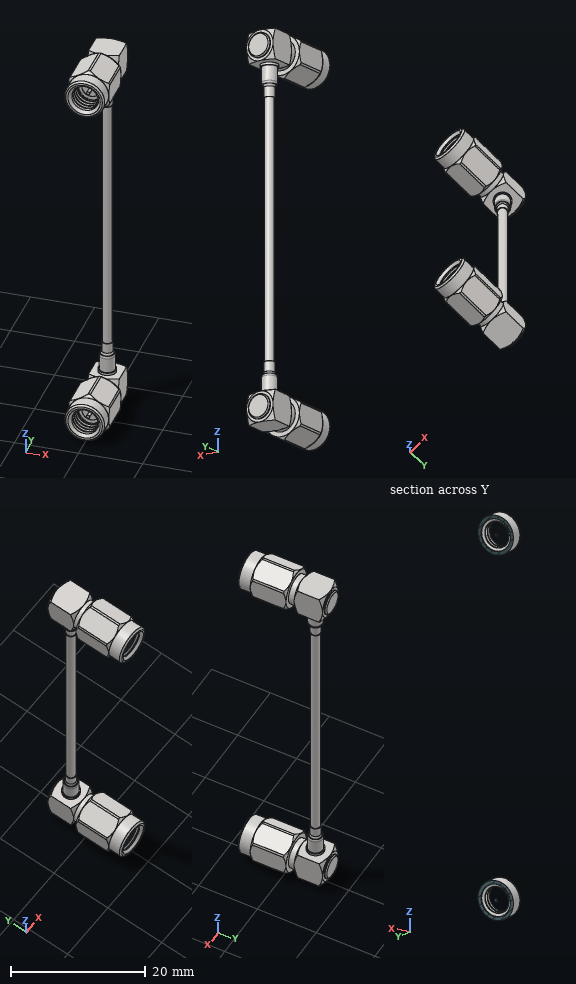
import cadquery as cq
import math

overall_height = 63.74

hex_across_flats = 6.35
hex_corner_radius = 3.57
nut_rear_y = -3.26
hex_front_y = -9.38
nut_front_y = -11.58
hex_chamfer_radius = 3.15
nut_collar_radius = 3.12
collar_edge_chamfer = 0.28

thread_minor_radius = 2.06
thread_major_radius = 2.5
thread_pitch = 0.7
thread_count = 5
thread_mouth_radius = 2.52

elbow_width = 4.83
elbow_rear_y = 2.52
elbow_front_y = -2.3
elbow_chamfer_angle = 30
cap_radius = 1.95
cap_height = 0.38
cap_edge_chamfer = 0.2
spigot_radius = 2.0
spigot_front_y = -8.1
dielectric_radius = 1.43
dielectric_recess = 0.05
pin_radius = 0.25
pin_front_y = -9.6

base_ring_radius = 1.4
base_ring_end = 2.8
ferrule_radius = 1.22
ferrule_end = 5.58
ferrule_chamfer_length = 0.38
ferrule_chamfer_depth = 0.1
sleeve_radius = 0.85
sleeve_shoulder_radius = 1.0
sleeve_shoulder_end = 5.96
sleeve_end = 7.6

cable_radius = 0.75

axis_height = overall_height / 2 - hex_corner_radius
elbow_half = elbow_width / 2
elbow_corner_radius = elbow_half * math.sqrt(2)
elbow_chamfer_length = (elbow_corner_radius - elbow_half) * math.tan(math.radians(elbow_chamfer_angle))
thread_flat = thread_pitch / 4
hex_chamfer_length = hex_corner_radius - hex_chamfer_radius


def turned_about_y(points):
    """Solid of revolution about the Y axis from (radius, y) points."""
    return cq.Workplane("XY").polyline(points).close().revolve(360, (0, 0, 0), (0, 1, 0))


def turned_about_z(points):
    """Solid of revolution about the Z axis from (radius, z) points."""
    return cq.Workplane("XZ").polyline(points).close().revolve(360, (0, 0, 0), (0, 1, 0))


def nut_hexagon():
    hexagon = (
        cq.Workplane("XZ", origin=(0, nut_rear_y, 0))
        .polygon(6, hex_across_flats, circumscribed=True)
        .extrude(nut_rear_y - hex_front_y)
    )
    envelope = turned_about_y([
        (0, nut_rear_y),
        (hex_chamfer_radius, nut_rear_y),
        (hex_corner_radius, nut_rear_y - hex_chamfer_length),
        (hex_corner_radius, hex_front_y + hex_chamfer_length),
        (hex_chamfer_radius, hex_front_y),
        (0, hex_front_y),
    ])
    return hexagon.intersect(envelope)


def nut_bore():
    mouth_depth = thread_mouth_radius - thread_minor_radius
    thread_start_y = nut_front_y + mouth_depth
    points = [(0, nut_front_y), (thread_mouth_radius, nut_front_y), (thread_minor_radius, thread_start_y)]
    for turn in range(thread_count):
        groove_y = thread_start_y + turn * thread_pitch
        points.append((thread_major_radius, groove_y + thread_flat))
        points.append((thread_major_radius, groove_y + 2 * thread_flat))
        points.append((thread_minor_radius, groove_y + 3 * thread_flat))
        points.append((thread_minor_radius, groove_y + thread_pitch))
    thread_end_y = thread_start_y + thread_count * thread_pitch
    points += [(spigot_radius, thread_end_y), (spigot_radius, nut_rear_y), (0, nut_rear_y)]
    return turned_about_y(points)


def make_nut():
    collar = turned_about_y([
        (0, hex_front_y),
        (nut_collar_radius, hex_front_y),
        (nut_collar_radius, nut_front_y + collar_edge_chamfer),
        (nut_collar_radius - collar_edge_chamfer, nut_front_y),
        (0, nut_front_y),
    ])
    return nut_hexagon().union(collar).cut(nut_bore())


def elbow_block():
    block = cq.Workplane("XY").box(elbow_width, elbow_rear_y - elbow_front_y, elbow_width)
    block = block.translate((0, (elbow_rear_y + elbow_front_y) / 2, 0))
    envelope = turned_about_y([
        (0, elbow_rear_y),
        (elbow_half, elbow_rear_y),
        (elbow_corner_radius, elbow_rear_y - elbow_chamfer_length),
        (elbow_corner_radius, elbow_front_y + elbow_chamfer_length),
        (elbow_half, elbow_front_y),
        (0, elbow_front_y),
    ])
    return block.intersect(envelope)


def elbow_turned_core():
    """Rear cap, neck, spigot, recessed dielectric face and contact pin on the connector axis."""
    cap_top_y = elbow_rear_y + cap_height
    return turned_about_y([
        (0, cap_top_y),
        (cap_radius - cap_edge_chamfer, cap_top_y),
        (cap_radius, cap_top_y - cap_edge_chamfer),
        (cap_radius, elbow_front_y),
        (elbow_half, elbow_front_y),
        (elbow_half, nut_rear_y),
        (spigot_radius, nut_rear_y),
        (spigot_radius, spigot_front_y),
        (dielectric_radius, spigot_front_y),
        (dielectric_radius, spigot_front_y + dielectric_recess),
        (pin_radius, spigot_front_y + dielectric_recess),
        (pin_radius, pin_front_y),
        (0, pin_front_y),
    ])


def elbow_ferrule():
    return turned_about_z([
        (0, 0),
        (base_ring_radius, 0),
        (base_ring_radius, -base_ring_end),
        (ferrule_radius, -base_ring_end),
        (ferrule_radius, -ferrule_end + ferrule_chamfer_length),
        (ferrule_radius - ferrule_chamfer_depth, -ferrule_end),
        (sleeve_shoulder_radius, -ferrule_end),
        (sleeve_radius, -sleeve_shoulder_end),
        (sleeve_radius, -sleeve_end),
        (0, -sleeve_end),
    ])


def make_elbow():
    return elbow_block().union(elbow_turned_core()).union(elbow_ferrule())


def make_cable():
    cable_top = axis_height - sleeve_end
    return cq.Workplane("XY", origin=(0, 0, -cable_top)).circle(cable_radius).extrude(2 * cable_top)


bodies = [make_cable().val()]
for turn_angle in (0, 180):
    for part in (make_elbow(), make_nut()):
        placed = part.translate((0, 0, axis_height)).rotate((0, 0, 0), (0, 1, 0), turn_angle)
        bodies.append(placed.val())

result = cq.Compound.makeCompound(bodies)